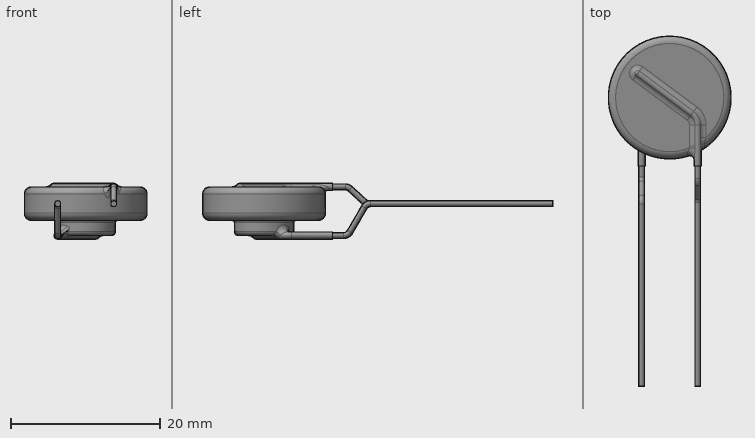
import cadquery as cq
import math

DISC_DIAMETER = 16.5
DISC_THICKNESS = 4.5
DISC_EDGE_RADIUS = 1.0

BOSS_DIAMETER = 8.0
BOSS_HEIGHT = 2.0
BOSS_EDGE_RADIUS = 0.55
BOSS_ROOT_RADIUS = 0.3

SLEEVE_DIAMETER = 1.0
SLEEVE_MOUTH_Y = -9.2
RIDGE_CORNER_Y = -2.73
RIDGE_ANGLE = 36.6
RIDGE_BEND_RADIUS = 1.9
RIDGE_BLEND_RADIUS = 1.0
UPPER_RIDGE_LENGTH = 10.0
LOWER_RIDGE_LENGTH = 6.35

OVERALL_LENGTH = 47.0
LEAD_SPACING = 7.5
WIRE_DIAMETER = 0.8
WIRE_BEND_RADIUS = 1.0
JOG_END_Y = -13.72
UPPER_JOG_START_Y = -11.3
LOWER_JOG_START_Y = -11.25

SLEEVE_RADIUS = SLEEVE_DIAMETER / 2
UPPER_LEAD_X = LEAD_SPACING / 2
LOWER_LEAD_X = -LEAD_SPACING / 2
UPPER_Z = DISC_THICKNESS
LOWER_Z = -BOSS_HEIGHT
TIP_Y = DISC_DIAMETER / 2 - OVERALL_LENGTH
TIP_Z = DISC_THICKNESS / 2


def rounded_path(points, bend_radius):
    """Path through the points, with a tangent arc at every inner corner."""
    corners = [cq.Vector(*point) for point in points]
    edges = []
    start = corners[0]
    for before, corner, after in zip(corners, corners[1:], corners[2:]):
        back = (before - corner).normalized()
        ahead = (after - corner).normalized()
        half_angle = back.getAngle(ahead) / 2
        tangent_length = bend_radius / math.tan(half_angle)
        corner_to_arc = bend_radius / math.sin(half_angle) - bend_radius
        arc_start = corner + back * tangent_length
        arc_middle = corner + (back + ahead).normalized() * corner_to_arc
        arc_end = corner + ahead * tangent_length
        edges.append(cq.Edge.makeLine(start, arc_start))
        edges.append(cq.Edge.makeThreePointArc(arc_start, arc_middle, arc_end))
        start = arc_end
    edges.append(cq.Edge.makeLine(start, corners[-1]))
    return cq.Wire.assembleEdges(edges)


def round_bar(points, diameter, bend_radius):
    """Round bar along a bent path whose first stretch is parallel to Y."""
    section = cq.Workplane("XZ", origin=points[0]).circle(diameter / 2)
    return section.sweep(cq.Workplane(obj=rounded_path(points, bend_radius)))


def make_coated_discs():
    """Varistor disc with rounded edges and the boss below it."""
    disc = cq.Workplane("XY").circle(DISC_DIAMETER / 2).extrude(DISC_THICKNESS)
    disc = disc.edges().fillet(DISC_EDGE_RADIUS)
    boss = cq.Workplane("XY").circle(BOSS_DIAMETER / 2).extrude(-BOSS_HEIGHT)
    boss = boss.faces("<Z").edges().fillet(BOSS_EDGE_RADIUS)
    root_edge = cq.selectors.RadiusNthSelector(0)
    return disc.union(boss).faces("<Z[1]").edges(root_edge).fillet(BOSS_ROOT_RADIUS)


def add_sleeve(body, lead_x, z, ridge_length):
    """Add the coating over one lead, its centreline on a flat face at height z, blended into the body."""
    slope = math.radians(RIDGE_ANGLE)
    inward = -math.copysign(1, lead_x)
    mouth = cq.Vector(lead_x, SLEEVE_MOUTH_Y, z)
    corner = cq.Vector(lead_x, RIDGE_CORNER_Y, z)
    ridge_direction = cq.Vector(inward * math.cos(slope), math.sin(slope), 0)
    ridge_side = cq.Vector(-inward * math.sin(slope), math.cos(slope), 0)
    ridge_end = corner + ridge_direction * ridge_length

    path = [point.toTuple() for point in (mouth, corner, ridge_end)]
    bar = round_bar(path, SLEEVE_DIAMETER, RIDGE_BEND_RADIUS)
    cap = cq.Workplane("XY", origin=ridge_end).sphere(SLEEVE_RADIUS)

    seam_point = corner + ridge_direction * (ridge_length / 2) + ridge_side * SLEEVE_RADIUS
    seam_edge = cq.selectors.NearestToPointSelector(seam_point.toTuple())
    return body.union(bar).union(cap).edges(seam_edge).fillet(RIDGE_BLEND_RADIUS)


def make_housing():
    """Coated disc and boss with the sleeves over both leads."""
    housing = make_coated_discs()
    housing = add_sleeve(housing, UPPER_LEAD_X, UPPER_Z, UPPER_RIDGE_LENGTH)
    return add_sleeve(housing, LOWER_LEAD_X, LOWER_Z, LOWER_RIDGE_LENGTH)


def make_lead(lead_x, z, jog_start_y):
    """Bare wire from the mouth of its sleeve, through the jog, to the tip."""
    path = [
        (lead_x, SLEEVE_MOUTH_Y, z),
        (lead_x, jog_start_y, z),
        (lead_x, JOG_END_Y, TIP_Z),
        (lead_x, TIP_Y, TIP_Z),
    ]
    return round_bar(path, WIRE_DIAMETER, WIRE_BEND_RADIUS)


housing = make_housing()
leads = [
    make_lead(UPPER_LEAD_X, UPPER_Z, UPPER_JOG_START_Y),
    make_lead(LOWER_LEAD_X, LOWER_Z, LOWER_JOG_START_Y),
]
result = cq.Compound.makeCompound([housing.solids().val(), *[lead.val() for lead in leads]])